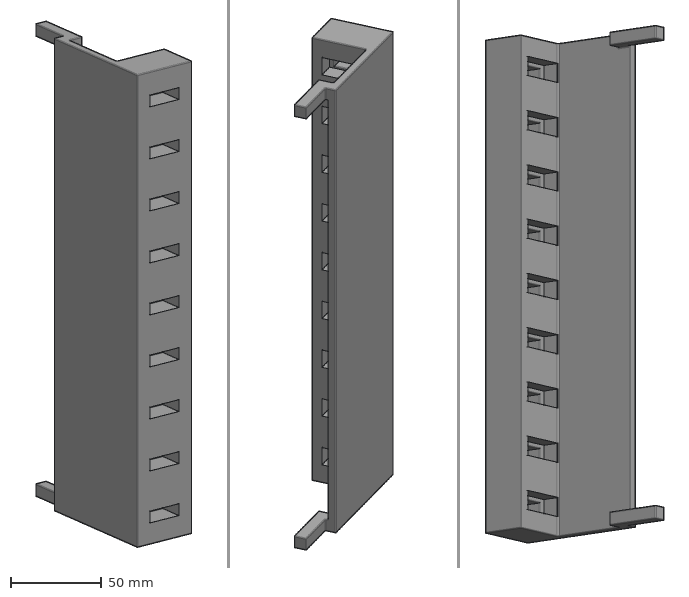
import cadquery as cq

length_x = 101.5
depth_y = 38.0
height_z = 278.0

plate_thickness = 5.0
bar_width = 25.3

arm_reach = 25.3
arm_overlap = 7.5
arm_front_y = 6.5
arm_back_y = 14.0
arm_height = 7.5

window_count = 9
window_pitch = 30.5
recess_back_y = 32.0
recess_height = 10.8
recess_depth = 10.0
opening_front_y = 9.0
opening_back_y = 29.0
opening_height = 7.0
opening_sill = 1.5

corner_radius = 1.0
edge_radius = 0.5

arm_end_x = arm_reach + arm_overlap
bar_left_x = length_x - bar_width
middle_z = height_z / 2
rim_margin = edge_radius / 2


def box(x_range, y_range, z_range):
    """Box spanning the given (low, high) range on each axis."""
    ranges = (x_range, y_range, z_range)
    sizes = [high - low for low, high in ranges]
    corner = tuple(low for low, high in ranges)
    return cq.Workplane("XY").box(*sizes, centered=False).translate(corner)


def make_arm(bottom_z):
    """Cranked arm: a stub that sits behind the plate, joined to it by an overlap."""
    z_range = (bottom_z, bottom_z + arm_height)
    beam = box((0, arm_end_x), (arm_front_y, arm_back_y), z_range)
    root = box((arm_reach, arm_end_x), (0, arm_back_y), z_range)
    return beam.union(root)


def cut_window(solid, center_z):
    """Cut a wide recess into the bar's -X face and a smaller, round-edged opening on through."""
    recess_floor_x = bar_left_x + recess_depth
    recess_bottom_z = center_z - recess_height / 2
    opening_bottom_z = recess_bottom_z + opening_sill
    opening_top_z = opening_bottom_z + opening_height
    recess = box(
        (bar_left_x, recess_floor_x),
        (plate_thickness, recess_back_y),
        (recess_bottom_z, recess_bottom_z + recess_height),
    )
    opening = box(
        (recess_floor_x, length_x),
        (opening_front_y, opening_back_y),
        (opening_bottom_z, opening_top_z),
    )
    opening_rim = cq.selectors.BoxSelector(
        (recess_floor_x - rim_margin, opening_front_y - rim_margin, opening_bottom_z - rim_margin),
        (recess_floor_x + rim_margin, opening_back_y + rim_margin, opening_top_z + rim_margin),
    )
    return solid.cut(recess).cut(opening).edges(opening_rim).fillet(edge_radius)


body = box((arm_reach, length_x), (0, plate_thickness), (0, height_z))
body = body.union(box((bar_left_x, length_x), (0, depth_y), (0, height_z)))
for arm_bottom_z in (0, height_z - arm_height):
    body = body.union(make_arm(arm_bottom_z))

corner_points = [
    (bar_left_x, plate_thickness, middle_z),
    (arm_end_x, plate_thickness, arm_height / 2),
    (arm_end_x, plate_thickness, height_z - arm_height / 2),
]
for point in corner_points:
    inner_corner = cq.selectors.NearestToPointSelector(point)
    body = body.edges(inner_corner).fillet(corner_radius)
body = body.edges().fillet(edge_radius)

for index in range(window_count):
    window_z = middle_z + (index - (window_count - 1) / 2) * window_pitch
    body = cut_window(body, window_z)

result = body